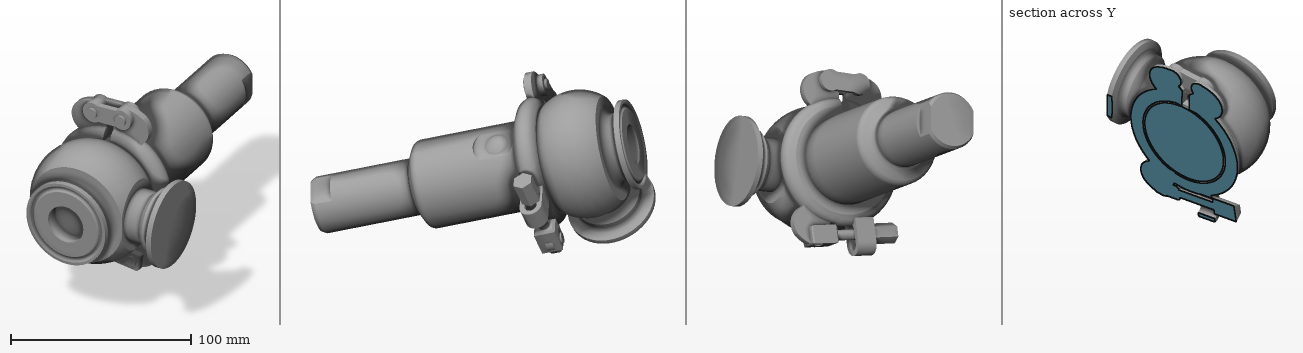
import cadquery as cq
import math

overall_length = 184.5

rim_radius = 25.3
rim_thickness = 3.1
neck_radius = 19.0
rim_cone_end = 4.6
rim_cone_end_radius = 21.4
neck_start = 6.5
neck_curve_middle = (5.2, 19.7)
inlet_fillet = 4.0
bore_radius = 11.3
bore_depth = 8.0
groove_inner_radius = 20.1
groove_outer_radius = 23.6
groove_depth = 1.5
groove_wall_width = 0.7
groove_wall_depth = 0.5

body_start = 12.2
body_end = 46.8
body_middle = (body_start + body_end) / 2
body_radius = 36.0
body_end_radius = 29.5
body_flat_x = 29.0

outlet_end = 52.0
outlet_pipe_radius = 15.1
outlet_pipe_end = 38.4
outlet_cone_end = 42.5

bonnet_radius = 25.0
shoulder_start = 119.3
shoulder_arc_middle = (24.5, 121.2)
shoulder_arc_end = (23.0, 122.8)
shoulder_end = 126.0
shoulder_end_radius = 17.3
cap_start = 126.7
cap_neck_radius = 15.3
cap_radius = 16.0
cap_end_radius = 14.8
cap_chamfer_length = 2.4
cap_flat_x = 13.5
cap_flat_length = 12.4

spotface_y = 73.8
spotface_radius = 11.8
spotface_x = -23.6
plug_y = 72.1
plug_radius = 6.5
plug_height = 2.0

clamp_width = 13
clamp_middle = body_end + clamp_width / 2
clamp_radius = 36.1
clamp_side_radius = 30.6
clamp_cone_radius = 32.6
clamp_cone_width = 1.1
joint_radius = 28.5
joint_groove_width = 1.1
joint_groove_depth = 1.8
joint_overlap = 1.0
clamp_gap = 4.6
hinge_tilt = 1.7
half_axis_angle = 4.5

lug_thickness = 4.2
pivot_side = 9.2
pivot_height = 44.8
knuckle_radius = 5.9
lug_arc_start = (11.8, 50.3)
lug_arc_middle = (17.0, 49.0)
lug_corner = (21.4, 46.5)
lug_side_middle = (24.5, 40.2)
lug_foot = (20.3, 30.5)
lug_root = (17.5, 26.7)

link_radius = 6.0
link_waist = 10.1
link_depth = 11
pin_radius = 3.1
pin_overhang = 1.5

bolt_tilt = 7.8
bolt_radius = 3.0
head_start = -49.8
head_width = 10.1
block_start = -34.7
block_end = -23.0
block_width = 13
block_top = 8.5
block_round_drop = 5.5
slot_radius = 3.5
slot_top = 1.8
eye_start = -11.8
eye_end = 5.0
eye_height = 10.3
eye_depth = 12.2
eye_start_chamfer = 1.3
eye_end_chamfer = 0.7


def turned_body():
    """Inlet ferrule, rounded body, bonnet and cap, turned about Y."""
    groove_middle = (groove_inner_radius + groove_outer_radius) / 2
    curve_y, curve_radius = neck_curve_middle
    fillet_start = body_start - inlet_fillet
    fillet_bulge = inlet_fillet * (1 - math.sqrt(0.5))
    return (
        cq.Workplane("XY")
        .moveTo(0, bore_depth)
        .lineTo(bore_radius, bore_depth)
        .lineTo(bore_radius, 0)
        .lineTo(groove_inner_radius, 0)
        .lineTo(groove_inner_radius + groove_wall_width, groove_wall_depth)
        .threePointArc(
            (groove_middle, groove_depth),
            (groove_outer_radius - groove_wall_width, groove_wall_depth),
        )
        .lineTo(groove_outer_radius, 0)
        .lineTo(rim_radius, 0)
        .lineTo(rim_radius, rim_thickness)
        .lineTo(rim_cone_end_radius, rim_cone_end)
        .threePointArc((curve_radius, curve_y), (neck_radius, neck_start))
        .lineTo(neck_radius, fillet_start)
        .threePointArc(
            (neck_radius + fillet_bulge, body_start - fillet_bulge),
            (neck_radius + inlet_fillet, body_start),
        )
        .lineTo(body_end_radius, body_start)
        .threePointArc((body_radius, body_middle), (body_end_radius, body_end))
        .lineTo(joint_radius, body_end)
        .lineTo(joint_radius, clamp_middle - joint_groove_width / 2)
        .lineTo(joint_radius - joint_groove_depth, clamp_middle - joint_groove_width / 2)
        .lineTo(joint_radius - joint_groove_depth, clamp_middle + joint_groove_width / 2)
        .lineTo(joint_radius, clamp_middle + joint_groove_width / 2)
        .lineTo(joint_radius, body_end + clamp_width)
        .lineTo(bonnet_radius, body_end + clamp_width)
        .lineTo(bonnet_radius, shoulder_start)
        .threePointArc(shoulder_arc_middle, shoulder_arc_end)
        .lineTo(shoulder_end_radius, shoulder_end)
        .lineTo(cap_neck_radius, shoulder_end)
        .lineTo(cap_neck_radius, cap_start)
        .lineTo(cap_radius, cap_start)
        .lineTo(cap_radius, overall_length - cap_chamfer_length)
        .lineTo(cap_end_radius, overall_length)
        .lineTo(0, overall_length)
        .close()
        .revolve(360, (0, 0, 0), (0, 1, 0))
    )


def beyond_x(x, y_start, y_end):
    """Block that removes everything beyond the plane at x, on the far side from the axis."""
    reach = math.copysign(2 * body_radius, x)
    return cq.Workplane("XY").box(
        abs(reach), y_end - y_start, 2 * abs(reach)
    ).translate((x + reach / 2, (y_start + y_end) / 2, 0))


def outlet():
    """Outlet pipe and ferrule, turned about an axis along X."""
    curve_depth, curve_radius = neck_curve_middle
    profile = (
        cq.Workplane("XY")
        .lineTo(0, outlet_pipe_radius)
        .lineTo(outlet_pipe_end, outlet_pipe_radius)
        .lineTo(outlet_cone_end, neck_radius)
        .lineTo(outlet_end - neck_start, neck_radius)
        .threePointArc(
            (outlet_end - curve_depth, curve_radius),
            (outlet_end - rim_cone_end, rim_cone_end_radius),
        )
        .lineTo(outlet_end - rim_thickness, rim_radius)
        .lineTo(outlet_end, rim_radius)
        .lineTo(outlet_end, 0)
        .close()
    )
    return profile.revolve(360, (0, 0, 0), (1, 0, 0)).translate((0, body_middle, 0))


def spotface():
    return (
        cq.Workplane("YZ", origin=(spotface_x, 0, 0))
        .center(spotface_y, 0)
        .circle(spotface_radius)
        .extrude(-bonnet_radius)
    )


def plug():
    """Shallow dome standing on the spotface."""
    dome_radius = (plug_radius**2 + plug_height**2) / (2 * plug_height)
    dome_x = spotface_x - plug_height + dome_radius
    return cq.Workplane("XY").sphere(dome_radius).translate((dome_x, plug_y, 0))


def across_clamp(depth):
    """XZ sketch plane whose extrusion by depth is centred on the clamp."""
    return cq.Workplane("XZ", origin=(0, clamp_middle + depth / 2, 0))


def turn(shape, angle):
    """Turn a shape about Y so that +Z swings towards -X."""
    return shape.rotate((0, 0, 0), (0, -1, 0), angle)


def clamp_ring():
    """Rounded ring around the joint, split at the hinge."""
    clamp_end = body_end + clamp_width
    ring_inner_radius = joint_radius - joint_overlap
    ring = (
        cq.Workplane("XY")
        .moveTo(ring_inner_radius, body_end)
        .lineTo(clamp_side_radius, body_end)
        .lineTo(clamp_cone_radius, body_end + clamp_cone_width)
        .threePointArc(
            (clamp_radius, clamp_middle),
            (clamp_cone_radius, clamp_end - clamp_cone_width),
        )
        .lineTo(clamp_side_radius, clamp_end)
        .lineTo(ring_inner_radius, clamp_end)
        .close()
        .revolve(360, (0, 0, 0), (0, 1, 0))
    )
    gap = across_clamp(clamp_width).rect(clamp_gap, 2 * clamp_radius).extrude(clamp_width)
    return ring.cut(turn(gap.translate((0, 0, clamp_radius)), hinge_tilt))


def lug():
    """Right-hand lug of a clamp half, with the gap centred on +Z."""
    web = (
        across_clamp(lug_thickness)
        .moveTo(*lug_root)
        .lineTo(clamp_gap / 2, lug_root[1])
        .lineTo(clamp_gap / 2, pivot_height - knuckle_radius)
        .lineTo(pivot_side, pivot_height)
        .lineTo(*lug_arc_start)
        .threePointArc(lug_arc_middle, lug_corner)
        .threePointArc(lug_side_middle, lug_foot)
        .close()
        .extrude(lug_thickness)
    )
    knuckle = (
        across_clamp(lug_thickness)
        .center(pivot_side, pivot_height)
        .circle(knuckle_radius)
        .extrude(lug_thickness)
    )
    return web.union(knuckle)


def pin():
    """Pin along Y that stands out of the -Y side of the links."""
    length = link_depth + pin_overhang
    return across_clamp(link_depth).circle(pin_radius).extrude(length)


def links():
    """Pair of waisted links over the two lugs, with their pins."""
    pair = (
        across_clamp(link_depth)
        .center(0, pivot_height)
        .rect(2 * pivot_side, link_waist)
        .extrude(link_depth)
    )
    for side in (-pivot_side, pivot_side):
        end = across_clamp(link_depth).center(side, pivot_height).circle(link_radius)
        pair = pair.union(end.extrude(link_depth))
    space = across_clamp(lug_thickness).center(0, pivot_height)
    pair = pair.cut(space.rect(4 * pivot_side, 3 * link_radius).extrude(lug_thickness))
    for side in (-pivot_side, pivot_side):
        pair = pair.union(pin().translate((side, 0, pivot_height)))
    return pair


def hinge():
    right_lug = lug()
    left_lug = right_lug.mirror("YZ")
    return turn(right_lug.union(left_lug).union(links()), hinge_tilt)


def closing_lug():
    """Lug at the lower end of the right half, mirrored from the hinge lug."""
    hinge_lug = turn(lug(), hinge_tilt - half_axis_angle)
    return turn(hinge_lug.mirror("XY"), half_axis_angle)


def closing_pivot():
    """Centre (x, z) of the bolt pivot in the closing lug."""
    radius = math.hypot(pivot_side, pivot_height)
    hinge_angle = math.degrees(math.atan2(pivot_height, pivot_side)) + hinge_tilt
    angle = math.radians(2 * half_axis_angle - hinge_angle)
    return radius * math.cos(angle), radius * math.sin(angle)


def closing_bolt():
    """Eye, shank, hexagon head and slotted block, laid along the tilted bolt axis."""
    axis_plane = cq.Workplane("YZ").center(clamp_middle, 0)
    eye = (
        axis_plane.workplane(offset=eye_start)
        .rect(eye_depth, eye_height)
        .extrude(eye_end - eye_start)
        .faces("<X").chamfer(eye_start_chamfer)
        .faces(">X").chamfer(eye_end_chamfer)
    )
    shank = axis_plane.workplane(offset=block_start).circle(bolt_radius).extrude(eye_start - block_start)
    head = (
        axis_plane.workplane(offset=head_start)
        .transformed(rotate=(0, 0, 90))
        .polygon(6, head_width / math.cos(math.pi / 6))
        .extrude(block_start - head_start)
    )
    block_length = block_end - block_start
    block_plane = axis_plane.workplane(offset=block_start)
    half_width = block_width / 2
    block = (
        block_plane
        .moveTo(-half_width, block_top)
        .lineTo(-half_width, -block_round_drop)
        .threePointArc((0, -block_round_drop - half_width), (half_width, -block_round_drop))
        .lineTo(half_width, block_top)
        .close()
        .extrude(block_length)
    )
    slot = (
        block_plane
        .moveTo(-slot_radius, slot_top)
        .lineTo(-slot_radius, -block_round_drop)
        .threePointArc((0, -block_round_drop - slot_radius), (slot_radius, -block_round_drop))
        .lineTo(slot_radius, slot_top)
        .threePointArc((0, slot_top + slot_radius), (-slot_radius, slot_top))
        .close()
        .extrude(block_length)
    )
    bolt = block.cut(slot).union(head).union(shank).union(eye).union(pin())
    pivot_x, pivot_z = closing_pivot()
    return turn(bolt, -bolt_tilt).translate((pivot_x, 0, pivot_z))


valve = turned_body().cut(beyond_x(body_flat_x, body_start, body_end)).union(outlet())
for flat_x in (-cap_flat_x, cap_flat_x):
    valve = valve.cut(beyond_x(flat_x, overall_length - cap_flat_length, overall_length))
valve = valve.cut(spotface()).union(plug())

result = valve.union(clamp_ring()).union(hinge()).union(closing_lug()).union(closing_bolt())